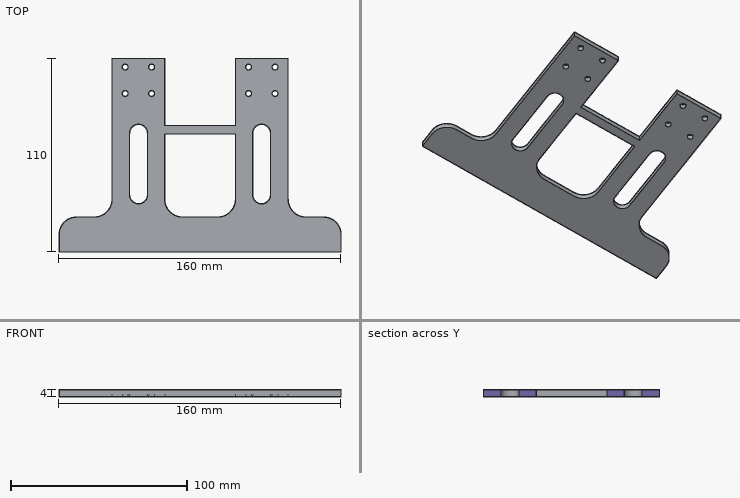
import cadquery as cq

thickness = 4.0
base_width = 160.0
base_depth = 20.0
total_depth = 110.0
corner_radius = 10.0

leg_width = 30.0
leg_center_x = 35.0
leg_inner_x = leg_center_x - leg_width / 2
leg_outer_x = leg_center_x + leg_width / 2

bridge_front_y = 67.0
bridge_depth = 5.0

slot_width = 10.0
slot_length = 45.0
slot_center_x = 34.9
slot_center_y = 50.0
slot_angle = 90.0

hole_diameter = 3.2
hole_pitch = 15.0
holes_per_row = 2
hole_end_margin = 5.0
hole_center_y = total_depth - hole_end_margin - hole_pitch / 2

sides = (-1, 1)


def block(width, depth, center_x, front_y):
    """Full-thickness rectangular block, centred on center_x and starting at front_y."""
    return (
        cq.Workplane("XY")
        .center(center_x, front_y + depth / 2)
        .rect(width, depth)
        .extrude(thickness)
    )


def vertical_edges_at(points):
    """Selector for the vertical edges standing on the given (x, y) points."""
    selector = None
    for x, y in points:
        edge = cq.selectors.NearestToPointSelector((x, y, thickness / 2))
        selector = edge if selector is None else selector + edge
    return selector


def make_outline():
    """Base bar with two legs, rounded where they meet and at the shoulders."""
    outline = block(base_width, base_depth, 0, 0)
    for side in sides:
        outline = outline.union(block(leg_width, total_depth, side * leg_center_x, 0))
    rounded_corners = [
        (side * x, base_depth)
        for side in sides
        for x in (leg_inner_x, leg_outer_x, base_width / 2)
    ]
    return outline.edges(vertical_edges_at(rounded_corners)).fillet(corner_radius)


def make_bridge():
    """Narrow cross bar between the inner faces of the legs."""
    return block(2 * leg_inner_x, bridge_depth, 0, bridge_front_y)


def make_slot(side):
    """Cutter for the long round-ended slot in one leg."""
    return (
        cq.Workplane("XY")
        .center(side * slot_center_x, slot_center_y)
        .slot2D(slot_length, slot_width, slot_angle)
        .extrude(thickness)
    )


def make_mounting_holes(side):
    """Cutter for the four mounting holes in one leg."""
    return (
        cq.Workplane("XY")
        .center(side * leg_center_x, hole_center_y)
        .rarray(hole_pitch, hole_pitch, holes_per_row, holes_per_row)
        .circle(hole_diameter / 2)
        .extrude(thickness)
    )


result = make_outline().union(make_bridge())
for leg_side in sides:
    result = result.cut(make_slot(leg_side)).cut(make_mounting_holes(leg_side))